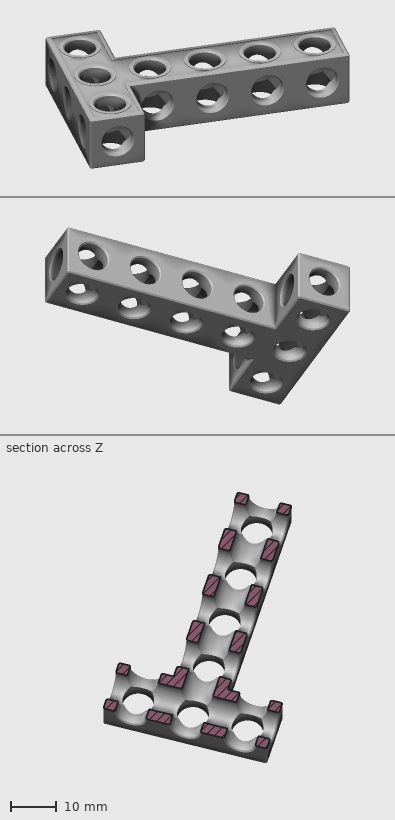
import cadquery as cq

pitch = 12.5
bar_holes = 3
stem_holes = 5
hole_diameter = 7.0
edge_chamfer = 0.3
hole_chamfer = 0.3
ring_diameter = 9.2
rim_width = 1.05
recess_depth = 0.2
corner_margin = 0.6

bar_length = bar_holes * pitch
stem_length = stem_holes * pitch
half = pitch / 2
hole_radius = hole_diameter / 2
bar_centers = [(i - (bar_holes - 1) / 2) * pitch for i in range(bar_holes)]
stem_centers = [i * pitch for i in range(stem_holes)]
top_centers = [(x, 0) for x in bar_centers] + [(0, y) for y in stem_centers[1:]]


def tee_prism(inset, bottom, height):
    """T-shaped prism whose outline is moved inward by inset."""
    bar = cq.Workplane("XY").box(
        bar_length - 2 * inset, pitch - 2 * inset, height, centered=(True, True, False)
    )
    stem = (
        cq.Workplane("XY")
        .center(0, inset - half)
        .box(pitch - 2 * inset, stem_length - 2 * inset, height, centered=(True, False, False))
    )
    return bar.union(stem).translate((0, 0, bottom))


def hole_cutter(start, direction, length):
    """Through hole with a chamfered mouth at each end."""
    start = cq.Vector(*start)
    axis = cq.Vector(*direction)
    end = start + axis * length
    mouth_radius = hole_radius + hole_chamfer
    bore = cq.Solid.makeCylinder(hole_radius, length, start, axis)
    entry = cq.Solid.makeCone(mouth_radius, hole_radius, hole_chamfer, start, axis)
    leave = cq.Solid.makeCone(mouth_radius, hole_radius, hole_chamfer, end, axis * -1)
    return bore.fuse(entry, leave)


def top_recess():
    """Shallow panel in the top face, leaving the rim and the hole rings standing."""
    floor = half - recess_depth
    rings = (
        cq.Workplane("XY", origin=(0, 0, floor))
        .pushPoints(top_centers)
        .circle(ring_diameter / 2)
        .extrude(recess_depth)
    )
    return tee_prism(rim_width, floor, recess_depth).cut(rings)


def chamfered_tee():
    """T-shaped body with every edge chamfered except the two vertical inner corners."""
    reach = half + corner_margin
    inner_corners = cq.selectors.BoxSelector(
        (-reach, half - corner_margin, -corner_margin), (reach, reach, corner_margin)
    )
    return tee_prism(0, -half, pitch).edges(-inner_corners).chamfer(edge_chamfer)


body = chamfered_tee().cut(top_recess())

for x, y in top_centers:
    body = body.cut(cq.Workplane(hole_cutter((x, y, -half), (0, 0, 1), pitch)))

for y in stem_centers:
    span = bar_length if y == 0 else pitch
    body = body.cut(cq.Workplane(hole_cutter((-span / 2, y, 0), (1, 0, 0), span)))

for x in bar_centers:
    span = stem_length if x == 0 else pitch
    body = body.cut(cq.Workplane(hole_cutter((x, -half, 0), (0, 1, 0), span)))

result = body